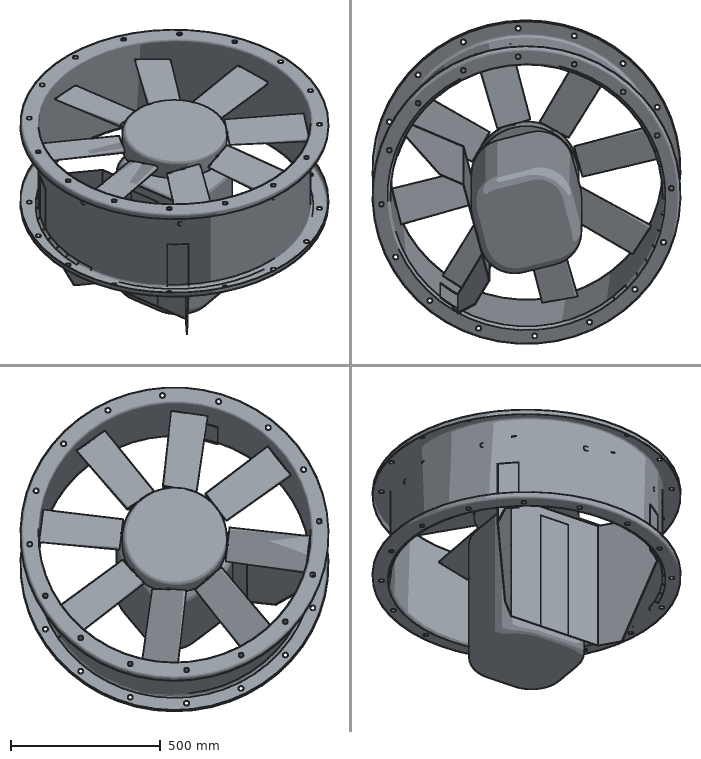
import cadquery as cq
import math


FLANGE_RADIUS = 515.0
CASING_INNER_RADIUS = 454.0
CASING_SHEET = 1.0
CASING_HEIGHT = 352.0
RIM_BEND_RADIUS = 10.0
LIP_HEIGHT = 23.0
BOLT_COUNT = 16
BOLT_DIAMETER = 16.0
BOLT_CIRCLE_RADIUS = 485.0

MOTOR_WIDTH = 344.0
MOTOR_CORNER_RADIUS = 117.0
MOTOR_END_FILLET = 34.0
MOTOR_BOTTOM = -328.0
MOTOR_TOP = 178.0
SHAFT_DIAMETER = 91.0

HUB_DIAMETER = 350.0
HUB_TOP = 317.0
HUB_HEIGHT = 72.0
HUB_FILLET = 16.0
HUB_BOTTOM = HUB_TOP - HUB_HEIGHT
HUB_MIDDLE = HUB_TOP - HUB_HEIGHT / 2

BLADE_COUNT = 8
BLADE_ROOT_RADIUS = 178.0
BLADE_TIP_RADIUS = 448.0
THICK_EDGE_RADIUS = 8.0
THIN_EDGE_RADIUS = 1.0
ROOT_LEADING_EDGE = (52.0, 289.0)
ROOT_TRAILING_EDGE = (-54.0, 272.0)
TIP_LEADING_EDGE = (61.0, 284.0)
TIP_TRAILING_EDGE = (-53.0, 263.0)
PIN_DIAMETER = 9.0
PIN_EMBED = 2.0

BRACKET_SHEET = 2.0
BRACKET_Y = -(MOTOR_WIDTH + BRACKET_SHEET) / 2
BRACKET_BOTTOM = MOTOR_BOTTOM + MOTOR_END_FILLET
BRACKET_HEIGHT = MOTOR_TOP - BRACKET_BOTTOM
WING_ANGLES = (225.0, 311.8)
TAB_SWEEP = 9.0
TAPER_BOTTOM_Y = -240.0
TAPER_TOP_Y = -338.0


def polar(radius, degrees, center=(0, 0)):
    """Point at a radius and an angle from a centre."""
    angle = math.radians(degrees)
    return (center[0] + radius * math.cos(angle), center[1] + radius * math.sin(angle))


def make_casing():
    """Thin shell whose rims bend outward into flanges and end in lips turned back along the wall."""
    inner_bend = RIM_BEND_RADIUS - CASING_SHEET
    wall_bend = (CASING_INNER_RADIUS + RIM_BEND_RADIUS, RIM_BEND_RADIUS)
    lip_bend = (FLANGE_RADIUS - RIM_BEND_RADIUS, RIM_BEND_RADIUS)
    middle = CASING_HEIGHT / 2
    lower_half = (
        cq.Workplane("XZ")
        .moveTo(CASING_INNER_RADIUS, middle)
        .lineTo(CASING_INNER_RADIUS, RIM_BEND_RADIUS)
        .threePointArc(polar(RIM_BEND_RADIUS, 225, wall_bend), (wall_bend[0], 0))
        .lineTo(lip_bend[0], 0)
        .threePointArc(polar(RIM_BEND_RADIUS, 315, lip_bend), (FLANGE_RADIUS, RIM_BEND_RADIUS))
        .lineTo(FLANGE_RADIUS, LIP_HEIGHT)
        .lineTo(FLANGE_RADIUS - CASING_SHEET, LIP_HEIGHT)
        .lineTo(FLANGE_RADIUS - CASING_SHEET, RIM_BEND_RADIUS)
        .threePointArc(polar(inner_bend, 315, lip_bend), (lip_bend[0], CASING_SHEET))
        .lineTo(wall_bend[0], CASING_SHEET)
        .threePointArc(
            polar(inner_bend, 225, wall_bend),
            (CASING_INNER_RADIUS + CASING_SHEET, RIM_BEND_RADIUS),
        )
        .lineTo(CASING_INNER_RADIUS + CASING_SHEET, middle)
        .close()
        .revolve(360, (0, 0, 0), (0, 1, 0))
    )
    upper_half = lower_half.mirror("XY").translate((0, 0, CASING_HEIGHT))
    bolt_holes = (
        cq.Workplane("XY")
        .polarArray(BOLT_CIRCLE_RADIUS, 180 / BOLT_COUNT, 360, BOLT_COUNT)
        .circle(BOLT_DIAMETER / 2)
        .extrude(CASING_HEIGHT)
    )
    return lower_half.union(upper_half).cut(bolt_holes)


def make_motor():
    """Rounded square motor body with a shaft reaching up into the hub."""
    body = (
        cq.Workplane("XY", origin=(0, 0, MOTOR_BOTTOM))
        .rect(MOTOR_WIDTH, MOTOR_WIDTH)
        .extrude(MOTOR_TOP - MOTOR_BOTTOM)
        .edges("|Z")
        .fillet(MOTOR_CORNER_RADIUS)
        .faces("<Z or >Z")
        .edges()
        .fillet(MOTOR_END_FILLET)
    )
    shaft = (
        cq.Workplane("XY", origin=(0, 0, MOTOR_TOP))
        .circle(SHAFT_DIAMETER / 2)
        .extrude(HUB_BOTTOM - MOTOR_TOP)
    )
    return body.union(shaft)


def make_hub():
    return (
        cq.Workplane("XY", origin=(0, 0, HUB_BOTTOM))
        .circle(HUB_DIAMETER / 2)
        .extrude(HUB_HEIGHT)
        .faces(">Z")
        .edges()
        .fillet(HUB_FILLET)
    )


def draw_blade_section(workplane, leading, leading_radius, trailing, trailing_radius):
    """Outline around two edge circles joined by their outer tangents."""
    dx = leading[0] - trailing[0]
    dz = leading[1] - trailing[1]
    chord_angle = math.degrees(math.atan2(dz, dx))
    tangent_angle = math.degrees(math.acos((trailing_radius - leading_radius) / math.hypot(dx, dz)))
    top = chord_angle + tangent_angle
    bottom = chord_angle - tangent_angle
    return (
        workplane.moveTo(*polar(leading_radius, top, leading))
        .lineTo(*polar(trailing_radius, top, trailing))
        .threePointArc(
            polar(trailing_radius, chord_angle + 180, trailing),
            polar(trailing_radius, bottom, trailing),
        )
        .lineTo(*polar(leading_radius, bottom, leading))
        .threePointArc(
            polar(leading_radius, chord_angle, leading),
            polar(leading_radius, top, leading),
        )
        .close()
    )


def make_blade():
    """Twisted blade reaching out along -Y, with the pin that joins it to the hub."""
    root_plane = cq.Workplane("XZ", origin=(0, -BLADE_ROOT_RADIUS, 0))
    root = draw_blade_section(
        root_plane, ROOT_LEADING_EDGE, THICK_EDGE_RADIUS, ROOT_TRAILING_EDGE, THIN_EDGE_RADIUS
    )
    tip_plane = root.workplane(offset=BLADE_TIP_RADIUS - BLADE_ROOT_RADIUS)
    blade = draw_blade_section(
        tip_plane, TIP_LEADING_EDGE, THIN_EDGE_RADIUS, TIP_TRAILING_EDGE, THICK_EDGE_RADIUS
    ).loft(ruled=True)
    pin_start = HUB_DIAMETER / 2 - PIN_EMBED
    pin = (
        cq.Workplane("XZ", origin=(0, -pin_start, HUB_MIDDLE))
        .circle(PIN_DIAMETER / 2)
        .extrude(BLADE_ROOT_RADIUS + PIN_EMBED - pin_start)
    )
    return blade.union(pin)


def make_rotor():
    rotor = make_hub()
    blade = make_blade()
    for index in range(BLADE_COUNT):
        rotor = rotor.union(blade.rotate((0, 0, 0), (0, 0, 1), index * 360 / BLADE_COUNT))
    return rotor


def make_upright_sheet(start, end):
    """Vertical sheet of bracket height standing on the line between two points."""
    dx = end[0] - start[0]
    dy = end[1] - start[1]
    sheet = cq.Workplane("XY").box(
        math.hypot(dx, dy) + BRACKET_SHEET, BRACKET_SHEET, BRACKET_HEIGHT, centered=(True, True, False)
    )
    return sheet.rotate((0, 0, 0), (0, 0, 1), math.degrees(math.atan2(dy, dx))).translate(
        ((start[0] + end[0]) / 2, (start[1] + end[1]) / 2, BRACKET_BOTTOM)
    )


def make_tab(start_angle, sweep):
    """Curved tab lying against the inside of the casing wall."""
    outer = CASING_INNER_RADIUS
    inner = CASING_INNER_RADIUS - BRACKET_SHEET
    middle_angle = start_angle + sweep / 2
    end_angle = start_angle + sweep
    return (
        cq.Workplane("XY", origin=(0, 0, BRACKET_BOTTOM))
        .moveTo(*polar(outer, start_angle))
        .threePointArc(polar(outer, middle_angle), polar(outer, end_angle))
        .lineTo(*polar(inner, end_angle))
        .threePointArc(polar(inner, middle_angle), polar(inner, start_angle))
        .close()
        .extrude(BRACKET_HEIGHT)
    )


def make_bracket():
    """Plate on the motor's -Y face with two wings to the casing, tapered below the casing."""
    left_corner = (-MOTOR_WIDTH / 2, BRACKET_Y)
    right_corner = (MOTOR_WIDTH / 2, BRACKET_Y)
    bracket = make_upright_sheet(left_corner, right_corner)
    wing_end_radius = CASING_INNER_RADIUS - BRACKET_SHEET / 2
    tab_sweeps = (TAB_SWEEP, -TAB_SWEEP)
    for corner, angle, sweep in zip((left_corner, right_corner), WING_ANGLES, tab_sweeps):
        bracket = bracket.union(make_upright_sheet(corner, polar(wing_end_radius, angle)))
        bracket = bracket.union(make_tab(angle, sweep))
    taper_waste = (
        cq.Workplane("YZ")
        .polyline(
            [
                (TAPER_BOTTOM_Y, BRACKET_BOTTOM),
                (TAPER_TOP_Y, 0),
                (-FLANGE_RADIUS, 0),
                (-FLANGE_RADIUS, BRACKET_BOTTOM),
            ]
        )
        .close()
        .extrude(FLANGE_RADIUS, both=True)
    )
    return bracket.cut(taper_waste)


result = make_casing().union(make_bracket()).union(make_motor()).union(make_rotor())